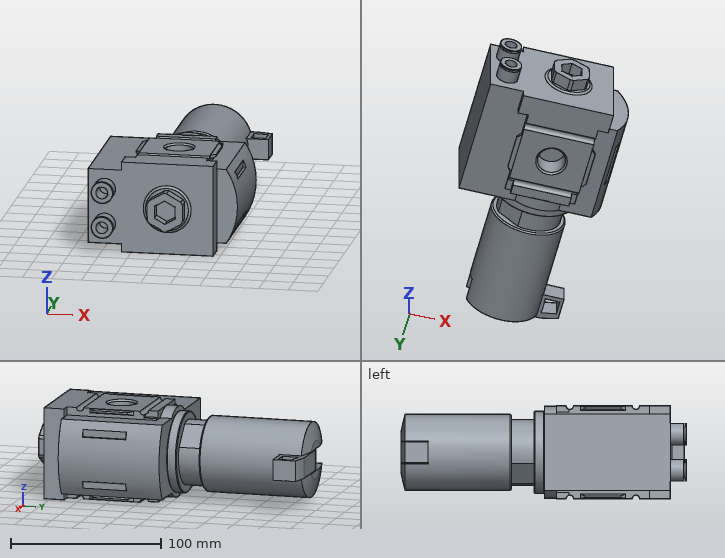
import cadquery as cq
import math


block_half = 31.0
block_front = -45.0
block_back = 31.0
ledge_front = -31.0
cover_half_height = 25.5
pad_half_width = 24.0
overlap = 1.0

side_cover_x = -53.6
plate_back = 39.0
plate_end_x = 37.4
gauge_apex_x = 45.0
gauge_step_x = 40.5
gauge_step_z = 15.1
gauge_step_half_length = 15.0

port_diameter = 18.63
port_chamfer = 1.2
port_depth = 15.0
groove_radius = 2.4
groove_offset = 22.0
notch_floor_z = 26.7
notch_inner_x = 20.0
notch_front = 22.4
lip_width = 3.0
lip_half_length = 15.0
lip_root_top = 30.7
lip_tip_top = 30.2
lip_tip_bottom = 29.0
lip_root_bottom = 27.9

bonnet_half_width = 15.0
bonnet_top = 30.8
flange_radius = 27.5
flange_back = 45.8
flange_chamfer = 0.6
neck_radius = 22.0
neck_flat_distance = 19.9
knob_radius = 25.5
knob_front = 60.8
knob_front_chamfer = 1.0
knob_rim = 131.75
knob_end = 134.6
dome_flat_radius = 13.0
dome_radius = 80.0

slot_width = 15.0
slot_floor = 116.4
slide_width = 14.0
slide_shift = 14.65
window_left = 26.9
window_right = 36.8
window_front = 119.4
window_left_top = 130.4
window_right_top = 128.7

plug_flange_radius = 16.2
plug_flange_end_radius = 14.5
plug_flange_thickness = 1.0
plug_end = -54.3
plug_across_flats = 24.0
plug_corner_radius = 13.2
socket_across_flats = 14.0
socket_depth = 8.0

fitting_x = -42.3
fitting_z = 12.0
fitting_diameter = 14.5
fitting_bore = 8.0
fitting_bore_depth = 14.0
fitting_groove_diameter = 10.0
fitting_groove_front = -54.9
fitting_groove_width = 1.1
fitting_end = -55.9


def box(x_range, y_range, z_range):
    """A box given by its two limits along each axis."""
    low, high = zip(x_range, y_range, z_range)
    size = [b - a for a, b in zip(low, high)]
    return cq.Workplane("XY").box(*size, centered=False).translate(low)


def cylinder(radius, y_start, y_end, x=0, z=0):
    """A cylinder along Y."""
    return cq.Workplane("XZ", origin=(x, y_start, z)).circle(radius).extrude(y_start - y_end)


def hexagon(across_flats, y_start, y_end):
    """A hexagonal prism along Y with two corners pointing up and down."""
    across_corners = across_flats / math.cos(math.radians(30))
    profile = cq.Workplane("XZ", origin=(0, y_start, 0)).transformed(rotate=(0, 0, 30))
    return profile.polygon(6, across_corners).extrude(y_start - y_end)


def both_z_sides(shape):
    """The shape together with its mirror image below the axis."""
    return shape.union(shape.mirror("XY"))


def all_corners(shape):
    """The shape repeated left and right, above and below the axis."""
    return both_z_sides(shape.union(shape.mirror("YZ")))


def make_block():
    """Square block whose side ledges leave a raised pad on its top and bottom."""
    block = box((-block_half, block_half), (block_front, block_back), (-block_half, block_half))
    ledge = box(
        (pad_half_width, block_half),
        (ledge_front, block_back),
        (cover_half_height, block_half),
    )
    notch = box((notch_inner_x, pad_half_width), (notch_front, block_back), (notch_floor_z, block_half))
    block = block.cut(all_corners(ledge)).cut(all_corners(notch))

    for groove_y in (-groove_offset, groove_offset):
        groove = (
            cq.Workplane("YZ", origin=(-pad_half_width, groove_y, block_half))
            .circle(groove_radius)
            .extrude(2 * pad_half_width)
        )
        block = block.cut(both_z_sides(groove))

    return block.union(all_corners(make_lip()))


def make_lip():
    """Undercut lip along the pad edge, with both ends cut back at 45 degrees."""
    root_x = pad_half_width
    tip_x = root_x + lip_width
    section = (
        cq.Workplane("XZ", origin=(0, lip_half_length, 0))
        .moveTo(root_x - overlap, lip_root_top)
        .lineTo(root_x, lip_root_top)
        .lineTo(tip_x, lip_tip_top)
        .lineTo(tip_x, lip_tip_bottom)
        .lineTo(root_x, lip_root_bottom)
        .lineTo(root_x - overlap, lip_root_bottom)
        .close()
        .extrude(2 * lip_half_length)
    )
    tip_half_length = lip_half_length - lip_width
    outline = (
        cq.Workplane("XY")
        .moveTo(root_x - overlap, -lip_half_length)
        .lineTo(root_x, -lip_half_length)
        .lineTo(tip_x, -tip_half_length)
        .lineTo(tip_x, tip_half_length)
        .lineTo(root_x, lip_half_length)
        .lineTo(root_x - overlap, lip_half_length)
        .close()
        .extrude(block_half)
    )
    return section.intersect(outline)


def make_port():
    """Chamfered pressure port, cut from the top of the block."""
    radius = port_diameter / 2
    mouth_radius = radius + port_chamfer
    return (
        cq.Workplane("XZ")
        .moveTo(0, block_half)
        .lineTo(mouth_radius, block_half)
        .lineTo(radius, block_half - port_chamfer)
        .lineTo(radius, block_half - port_depth)
        .lineTo(0, block_half - port_depth)
        .close()
        .revolve(360, (0, 0, 0), (0, 1, 0))
    )


def make_covers():
    """Side cover, back plate and the gauge cover with its curved face."""
    height = (-cover_half_height, cover_half_height)
    side_cover = box((side_cover_x, -block_half), (block_front, plate_back), height)
    back_plate = box((-block_half, block_half), (block_back, plate_back), height)
    gauge_cover = (
        cq.Workplane("XZ", origin=(0, plate_back, 0))
        .moveTo(block_half, -cover_half_height)
        .lineTo(plate_end_x, -cover_half_height)
        .threePointArc((gauge_apex_x, 0), (plate_end_x, cover_half_height))
        .lineTo(block_half, cover_half_height)
        .close()
        .extrude(plate_back - ledge_front)
    )
    step = box(
        (gauge_step_x, gauge_apex_x),
        (-gauge_step_half_length, gauge_step_half_length),
        (gauge_step_z, cover_half_height),
    )
    return side_cover.union(back_plate).union(gauge_cover.cut(both_z_sides(step)))


def make_bonnet():
    """Arched rise above the back plate that meets the flange."""
    return (
        cq.Workplane("XZ", origin=(0, plate_back, 0))
        .moveTo(-bonnet_half_width, 0)
        .lineTo(-bonnet_half_width, cover_half_height)
        .threePointArc((0, bonnet_top), (bonnet_half_width, cover_half_height))
        .lineTo(bonnet_half_width, 0)
        .close()
        .extrude(plate_back - block_back)
    )


def make_neck():
    """Bonnet, flange and neck between the block and the knob."""
    bonnet = both_z_sides(make_bonnet())
    flange = cylinder(flange_radius, plate_back, flange_back)
    flange = flange.faces("<Y or >Y").edges().chamfer(flange_chamfer)
    neck = cylinder(neck_radius, flange_back - overlap, knob_front + overlap)
    between_flats = (
        cq.Workplane("XZ", origin=(0, flange_back - overlap, 0))
        .transformed(rotate=(0, 0, 45))
        .rect(2 * neck_flat_distance, 2 * neck_radius)
        .extrude(flange_back - knob_front - 2 * overlap)
    )
    return bonnet.union(flange).union(neck.intersect(between_flats))


def dome_drop(radius):
    """How far the domed knob end lies in front of its flat centre at a given radius."""
    def sag(r):
        return dome_radius - math.sqrt(dome_radius**2 - r**2)

    return sag(radius) - sag(dome_flat_radius)


dome_middle_radius = (dome_flat_radius + knob_radius) / 2
dome_middle = (dome_middle_radius, knob_end - dome_drop(dome_middle_radius))


def make_knob():
    """Round knob with a domed end, slotted across for the locking slide."""
    knob = (
        cq.Workplane("XY")
        .moveTo(0, knob_front)
        .lineTo(knob_radius - knob_front_chamfer, knob_front)
        .lineTo(knob_radius, knob_front + knob_front_chamfer)
        .lineTo(knob_radius, knob_rim)
        .threePointArc(dome_middle, (dome_flat_radius, knob_end))
        .lineTo(0, knob_end)
        .close()
        .revolve(360, (0, 0, 0), (0, 1, 0))
    )
    slot = box(
        (-knob_radius, knob_radius),
        (slot_floor, knob_end),
        (-slot_width / 2, slot_width / 2),
    )
    return knob.cut(slot)


def make_plug():
    """Hexagonal drain plug with a tapered flange and a hexagon socket."""
    flange_end = block_front - plug_flange_thickness
    flange = (
        cq.Workplane("XY")
        .moveTo(0, block_front + overlap)
        .lineTo(plug_flange_radius, block_front + overlap)
        .lineTo(plug_flange_radius, block_front)
        .lineTo(plug_flange_end_radius, flange_end)
        .lineTo(0, flange_end)
        .close()
        .revolve(360, (0, 0, 0), (0, 1, 0))
    )
    head = hexagon(plug_across_flats, plug_end, block_front)
    head = head.intersect(cylinder(plug_corner_radius, plug_end, block_front))
    socket = hexagon(socket_across_flats, plug_end, plug_end + socket_depth)
    return flange.union(head).cut(socket)


def make_fitting(z):
    """Push-in fitting with a groove behind its release ring."""
    fitting = cylinder(fitting_diameter / 2, fitting_end, block_front + overlap, fitting_x, z)
    groove_back = fitting_groove_front + fitting_groove_width
    groove = cylinder(fitting_diameter / 2, fitting_groove_front, groove_back, fitting_x, z)
    core = cylinder(fitting_groove_diameter / 2, fitting_groove_front, groove_back, fitting_x, z)
    return fitting.cut(groove.cut(core))


def make_regulator():
    """The whole regulator apart from its locking slide."""
    regulator = make_block().union(make_covers()).union(make_neck()).union(make_knob())
    regulator = regulator.union(make_plug()).cut(both_z_sides(make_port()))
    for z in (-fitting_z, fitting_z):
        bore_end = fitting_end + fitting_bore_depth
        bore = cylinder(fitting_bore / 2, fitting_end, bore_end, fitting_x, z)
        regulator = regulator.union(make_fitting(z)).cut(bore)
    return regulator


def make_locking_slide():
    """Slide that continues the dome across the slot, with a window for a padlock."""
    half_length = math.sqrt(knob_radius**2 - (slot_width / 2) ** 2)
    end_rim = knob_end - dome_drop(half_length)
    middle_x, middle_y = dome_middle
    bottom = -slide_width / 2
    body = (
        cq.Workplane("XY", origin=(slide_shift, 0, bottom))
        .moveTo(-half_length, slot_floor)
        .lineTo(half_length, slot_floor)
        .lineTo(half_length, end_rim)
        .threePointArc(dome_middle, (dome_flat_radius, knob_end))
        .lineTo(-dome_flat_radius, knob_end)
        .threePointArc((-middle_x, middle_y), (-half_length, end_rim))
        .close()
        .extrude(slide_width)
    )
    window = (
        cq.Workplane("XY", origin=(0, 0, bottom))
        .moveTo(window_left, window_front)
        .lineTo(window_right, window_front)
        .lineTo(window_right, window_right_top)
        .lineTo(window_left, window_left_top)
        .close()
        .extrude(slide_width)
    )
    return body.cut(window)


regulator = make_regulator()
locking_slide = make_locking_slide()

result = cq.Compound.makeCompound([regulator.val(), locking_slide.val()])